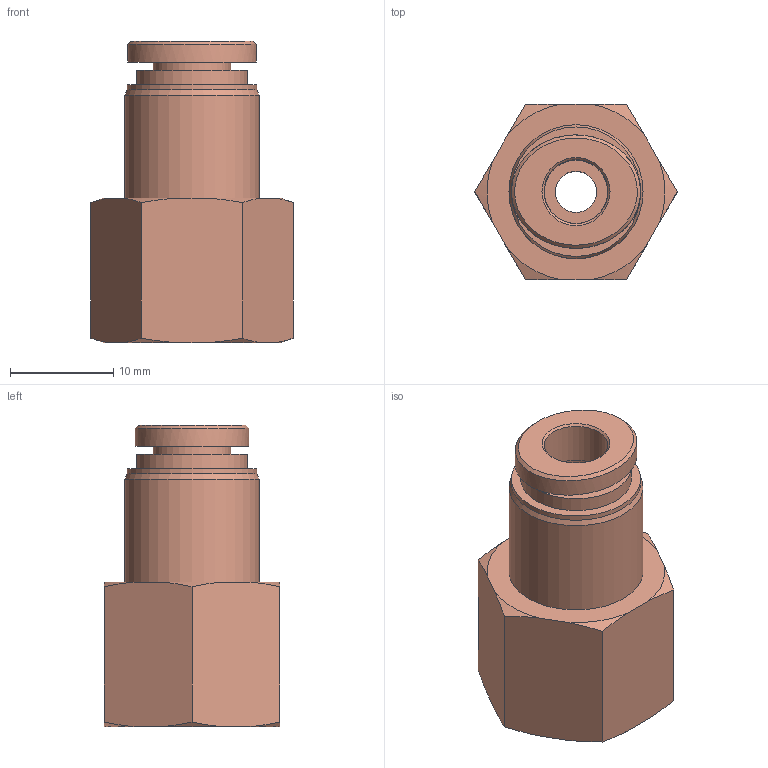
import cadquery as cq
import math

hex_top = 14.0
shoulder_bottom = 24.0
shoulder_top = 24.5
lip_top = 25.0
ring_top = 26.4
head_bottom = 27.2
head_top = 29.2

hex_across_flats = 17.0
hex_across_corners = hex_across_flats / math.cos(math.radians(30))
hex_face_diameter = 17.25
hex_chamfer_angle = 20.0
barrel_diameter = 13.0
lip_diameter = 12.55
ring_diameter = 10.75

socket_diameter = 6.15
socket_floor = hex_top
passage_diameter = 4.0

neck_diameter = 7.5
neck_bottom = lip_top
head_length = 12.5
head_width = 11.0
head_chamfer = 0.3
sleeve_bore_diameter = 6.2
bore_chamfer = 0.2


def cylinder(diameter, bottom, top):
    return cq.Workplane("XY").workplane(offset=bottom).circle(diameter / 2).extrude(top - bottom)


def make_hexagon():
    """Hexagon with conical corner chamfers on both end faces, corners along X."""
    prism = cq.Workplane("XY").polygon(6, hex_across_corners).extrude(hex_top)
    corner_radius = hex_across_corners / 2
    face_radius = hex_face_diameter / 2
    corner_drop = (corner_radius - face_radius) * math.tan(math.radians(hex_chamfer_angle))
    envelope = (
        cq.Workplane("XZ")
        .moveTo(0, 0)
        .lineTo(face_radius, 0)
        .lineTo(corner_radius, corner_drop)
        .lineTo(corner_radius, hex_top - corner_drop)
        .lineTo(face_radius, hex_top)
        .lineTo(0, hex_top)
        .close()
        .revolve(360, (0, 0, 0), (0, 1, 0))
    )
    return prism.intersect(envelope)


def make_shoulder():
    """Cone that narrows the barrel to the lip."""
    return (
        cq.Workplane("XY")
        .workplane(offset=shoulder_bottom)
        .circle(barrel_diameter / 2)
        .workplane(offset=shoulder_top - shoulder_bottom)
        .circle(lip_diameter / 2)
        .loft()
    )


def make_housing():
    housing = (
        make_hexagon()
        .union(cylinder(barrel_diameter, hex_top, shoulder_bottom))
        .union(make_shoulder())
        .union(cylinder(lip_diameter, shoulder_top, lip_top))
        .union(cylinder(ring_diameter, lip_top, ring_top))
    )
    return (
        housing.cut(cylinder(passage_diameter, 0, socket_floor))
        .cut(cylinder(socket_diameter, socket_floor, neck_bottom))
        .cut(cylinder(neck_diameter, neck_bottom, ring_top))
    )


def make_release_sleeve():
    head = (
        cq.Workplane("XY")
        .workplane(offset=head_bottom)
        .ellipse(head_length / 2, head_width / 2)
        .extrude(head_top - head_bottom)
        .faces(">Z")
        .chamfer(head_chamfer)
    )
    bore = cylinder(sleeve_bore_diameter, neck_bottom, head_top)
    sleeve = head.union(cylinder(neck_diameter, neck_bottom, head_bottom)).cut(bore)
    bore_rim = sleeve.faces(">Z").edges("%CIRCLE")
    return bore_rim.chamfer(bore_chamfer)


housing = make_housing()
release_sleeve = make_release_sleeve()

result = cq.Compound.makeCompound([housing.val(), release_sleeve.val()])